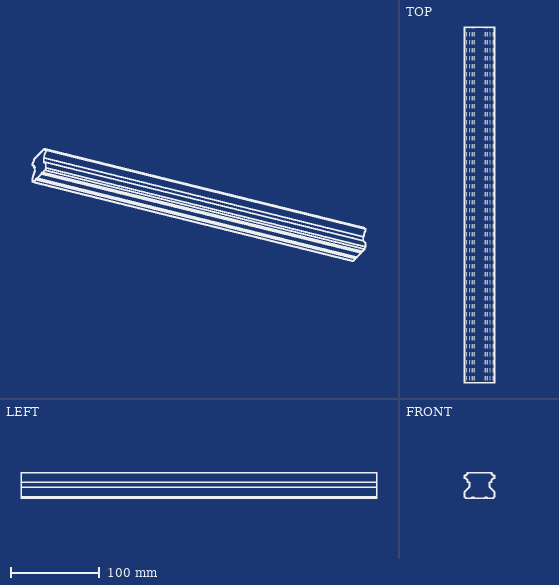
import cadquery as cq
import math

length = 400.0
width = 34.0

foot_bottom_chamfer = 2.0
foot_top_fillet = 2.0
foot_slope = math.radians(45)

waist_width = 23.0
waist_bottom = 13.0
waist_top = 18.0

head_width = 27.0
head_fillet = 1.0
lip_bottom = 22.5
lip_thickness = 3.4
lip_fillet = 0.6
ball_groove_height = 2.5
ball_groove_radius = 3.0

relief_mouth_width = 3.0
relief_roof_width = 2.0
relief_depth = 1.0
relief_spacing = 14.5

half_width = width / 2
half_waist = waist_width / 2
half_head = head_width / 2
half_head_flat = half_head - head_fillet
lip_root = half_width - lip_fillet

lip_top = lip_bottom + lip_thickness
head_side_top = lip_top + ball_groove_height
height = head_side_top + head_fillet
head_side_bottom = lip_bottom - ball_groove_height
foot_corner = waist_bottom - (half_width - half_waist) * math.tan(foot_slope)

fillet_reach = foot_top_fillet * math.tan((math.pi / 2 - foot_slope) / 2)
slope_end = (
    half_width - fillet_reach * math.cos(foot_slope),
    foot_corner + fillet_reach * math.sin(foot_slope),
)
foot_side_top = foot_corner - fillet_reach


def half_profile():
    """Right half of the rail section, closed along the centre line."""
    return (
        cq.Workplane("XZ", origin=(0, length / 2, 0))
        .moveTo(0, height)
        .lineTo(half_head_flat, height)
        .radiusArc((half_head, head_side_top), head_fillet)
        .radiusArc((lip_root, lip_top), -ball_groove_radius)
        .radiusArc((half_width, lip_top - lip_fillet), lip_fillet)
        .lineTo(half_width, lip_bottom + lip_fillet)
        .radiusArc((lip_root, lip_bottom), lip_fillet)
        .radiusArc((half_head, head_side_bottom), -ball_groove_radius)
        .lineTo(half_head, waist_top + head_fillet)
        .radiusArc((half_head_flat, waist_top), head_fillet)
        .lineTo(half_waist, waist_top)
        .lineTo(half_waist, waist_bottom)
        .lineTo(*slope_end)
        .radiusArc((half_width, foot_side_top), foot_top_fillet)
        .lineTo(half_width, foot_bottom_chamfer)
        .lineTo(half_width - foot_bottom_chamfer, 0)
        .lineTo(0, 0)
        .close()
    )


def relief_groove(x):
    """Shallow groove with sloping sides running the full length of the underside."""
    return (
        cq.Workplane("XZ", origin=(x, length / 2, 0))
        .moveTo(-relief_mouth_width / 2, 0)
        .lineTo(-relief_roof_width / 2, relief_depth)
        .lineTo(relief_roof_width / 2, relief_depth)
        .lineTo(relief_mouth_width / 2, 0)
        .close()
        .extrude(length)
    )


half_rail = half_profile().extrude(length)
rail = half_rail.union(half_rail.mirror("YZ"))
for side in (-1, 1):
    rail = rail.cut(relief_groove(side * relief_spacing / 2))
result = rail